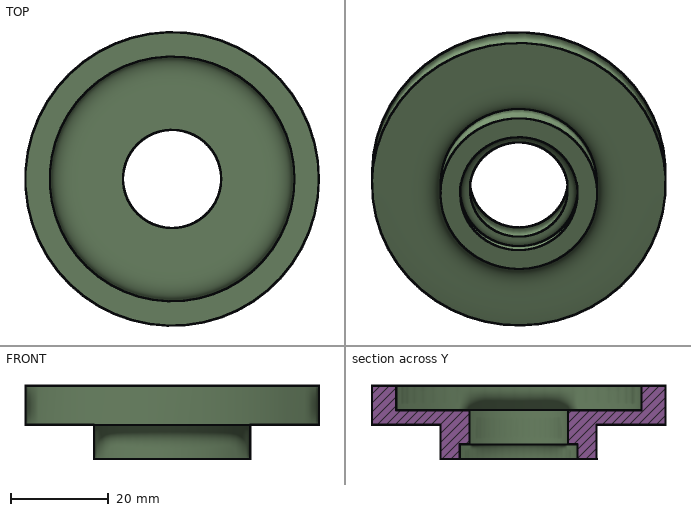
import cadquery as cq

flange_diameter = 60.0
flange_height = 8.0

hub_diameter = 32.0
hub_height = 7.0

recess_diameter = 50.0
recess_depth = 5.0

bore_diameter = 20.0
counterbore_diameter = 24.0
counterbore_depth = 3.0

total_height = hub_height + flange_height


def disc(diameter, base_z, height):
    """Upright cylinder on the Z axis, starting at base_z."""
    return cq.Workplane("XY").workplane(offset=base_z).circle(diameter / 2).extrude(height)


hub = disc(hub_diameter, 0, hub_height)
flange = disc(flange_diameter, hub_height, flange_height)

recess = disc(recess_diameter, total_height - recess_depth, recess_depth)
bore = disc(bore_diameter, 0, total_height)
counterbore = disc(counterbore_diameter, 0, counterbore_depth)

result = flange.union(hub).cut(recess).cut(bore).cut(counterbore)